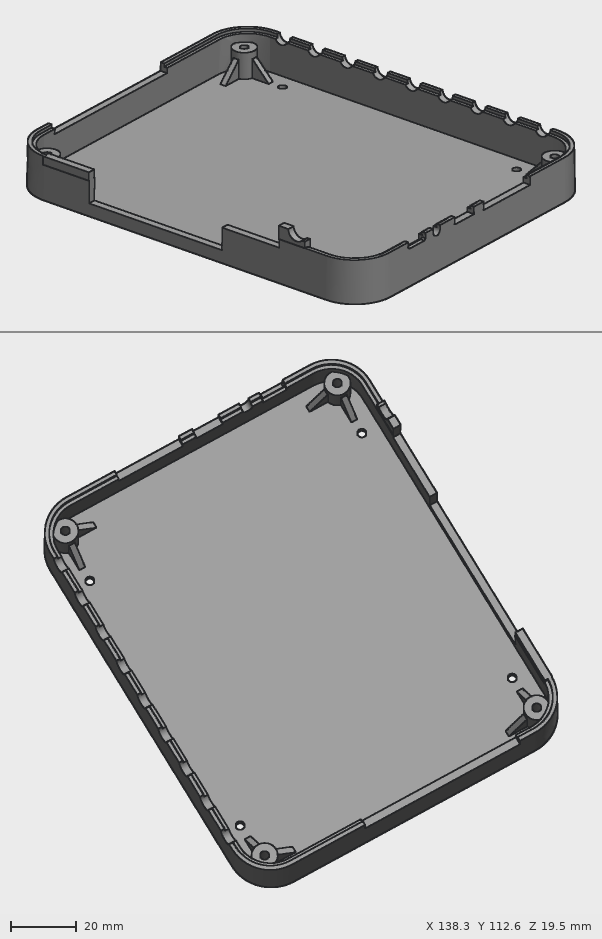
import cadquery as cq

length = 138.3
width = 112.6
wall_top = 15.0
tab_top = 19.5
corner_radius = 13.8
draft_x = 0.4
draft_y = 0.1
wall = 2.6
floor = 2.0

lip = 1.4
ledge_z = 13.8

boss_x = 60.7
boss_y = 47.9
boss_radius = 4.0
boss_top = 10.9
screw_diameter = 2.8
gusset_reach = 10.4
gusset_thickness = 2.1
gusset_top = 8.5
floor_hole_x = 45.8

cable_count = 9
cable_pitch = 12.7
cable_radius = 2.5

front_sill_z = 12.0
window_start = -37.6
window_end = 14.4
window_z = 4.4
block_start = -55.6
tab_start = 36.7
tab_end = 46.8
tab_notch_x = 43.6
tab_notch_radius = 3.2
tab_low_top = 17.2

left_opening_y = (-37.3, 17.2)
left_sill_z = 12.0

right_openings = [(3.3, 25.9, 12.0), (-10.7, -1.4, 12.5)]
port_start = -33.2
port_end = -24.9
port_inner_z = 12.0
port_outer_z = 12.6
port_chamfer = 0.5
jack_y = -19.5
jack_radius = 1.7
jack_z = 13.7

wall_cut_depth = 4.1


def box(x0, x1, y0, y1, z0, z1):
    """Block between two opposite corners."""
    return cq.Workplane("XY").box(x1 - x0, y1 - y0, z1 - z0, centered=False).translate((x0, y0, z0))


def rounded_outline(inset, z):
    """Closed outline of the drafted tray at height z, moved in by inset."""
    lean_x = draft_x * z / wall_top
    lean_y = draft_y * z / wall_top
    outline = cq.Sketch().rect(length - 2 * (inset + lean_x), width - 2 * (inset + lean_y))
    return outline.vertices().fillet(corner_radius - inset - lean_x)


def drafted_solid(inset, z0, z1):
    """Solid between heights z0 and z1 that follows the draft of the walls."""
    lower = rounded_outline(inset, z0).moved(cq.Location(cq.Vector(0, 0, z0)))
    upper = rounded_outline(inset, z1).moved(cq.Location(cq.Vector(0, 0, z1)))
    return cq.Workplane("XY").placeSketch(lower, upper).loft()


def round_bar(radius, x, z, y0, y1):
    """Cylinder along Y."""
    return cq.Workplane("XZ", origin=(0, y0, 0)).center(x, z).circle(radius).extrude(y0 - y1)


def gusset():
    """Triangular rib that runs from a boss axis along +X."""
    return (
        cq.Workplane("XZ")
        .moveTo(0, 0)
        .lineTo(gusset_reach, 0)
        .lineTo(gusset_reach, floor)
        .lineTo(boss_radius, gusset_top)
        .lineTo(0, gusset_top)
        .close()
        .extrude(gusset_thickness / 2, both=True)
    )


outer = drafted_solid(0, 0, wall_top)
body = outer.cut(drafted_solid(wall, floor, wall_top))
body = body.cut(drafted_solid(lip, ledge_z, wall_top))

for side_x in (-1, 1):
    for side_y in (-1, 1):
        center = (side_x * boss_x, side_y * boss_y, 0)
        boss = cq.Workplane("XY").circle(boss_radius).extrude(boss_top)
        boss = boss.union(gusset().rotate((0, 0, 0), (0, 0, 1), 90 + 90 * side_x))
        boss = boss.union(gusset().rotate((0, 0, 0), (0, 0, 1), -90 * side_y))
        body = body.union(boss.translate(center).intersect(outer))
        screw = cq.Workplane("XY").circle(screw_diameter / 2).extrude(wall_top)
        body = body.cut(screw.translate((center[0], center[1], floor)))
        body = body.cut(screw.translate((side_x * floor_hole_x, center[1], 0)))

back_y = width / 2
for index in range(cable_count):
    notch_x = (index - (cable_count - 1) / 2) * cable_pitch
    body = body.cut(round_bar(cable_radius, notch_x, wall_top, back_y - wall_cut_depth, back_y))

front_y = -width / 2
body = body.cut(box(block_start, tab_start, front_y, front_y + wall_cut_depth, front_sill_z, wall_top))
body = body.cut(box(window_start, window_end, front_y, front_y + wall_cut_depth, window_z, wall_top))
body = body.union(box(block_start, window_start, front_y, front_y + wall, front_sill_z, wall_top))
ledge_fill = box(tab_start, tab_end, front_y, front_y + wall, ledge_z, wall_top).intersect(outer)
tab = box(tab_start, tab_end, front_y, front_y + wall, wall_top, tab_top)
tab = tab.cut(round_bar(tab_notch_radius, tab_notch_x, tab_top, front_y, front_y + wall))
tab = tab.cut(box(tab_notch_x, tab_end, front_y, front_y + wall, tab_low_top, tab_top))
body = body.union(ledge_fill).union(tab)

end_x = length / 2
body = body.cut(box(-end_x, -end_x + wall_cut_depth, *left_opening_y, left_sill_z, wall_top))
for start_y, end_y, sill_z in right_openings:
    body = body.cut(box(end_x - wall_cut_depth, end_x, start_y, end_y, sill_z, wall_top))
jack = cq.Workplane("YZ", origin=(end_x - wall_cut_depth, 0, 0)).center(jack_y, jack_z)
body = body.cut(jack.circle(jack_radius).extrude(wall_cut_depth))
body = body.cut(box(end_x - wall_cut_depth, end_x, jack_y - jack_radius, jack_y + jack_radius, jack_z, wall_top))

lip_inner_x = end_x - draft_x - lip
port = (
    cq.Workplane("YZ", origin=(end_x - wall_cut_depth, 0, 0))
    .moveTo(port_start, wall_top)
    .lineTo(port_start, port_outer_z + port_chamfer)
    .lineTo(port_start + port_chamfer, port_outer_z)
    .lineTo(port_end - port_chamfer, port_outer_z)
    .lineTo(port_end, port_outer_z + port_chamfer)
    .lineTo(port_end, wall_top)
    .close()
    .extrude(wall_cut_depth)
)
body = body.cut(port)
body = body.cut(box(end_x - wall_cut_depth, lip_inner_x, port_start, port_end, port_inner_z, wall_top))

result = body